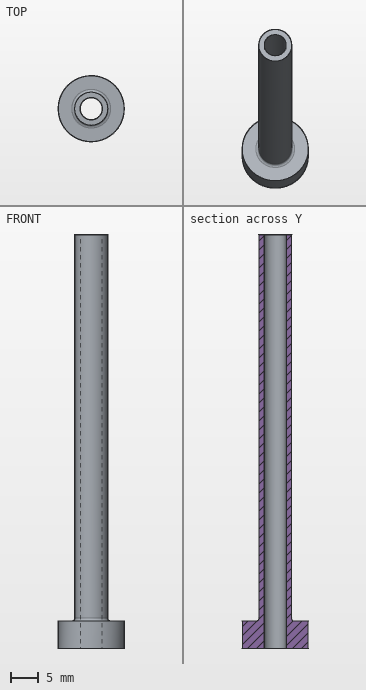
import cadquery as cq

total_length = 75.0
head_diameter = 12.0
head_height = 5.0
tube_diameter = head_diameter / 2
bore_diameter = 4.0
neck_fillet = 0.5

head = cq.Workplane("XY").circle(head_diameter / 2).extrude(head_height)
tube = cq.Workplane("XY").circle(tube_diameter / 2).extrude(total_length)
body = head.union(tube)

neck_edge = cq.selectors.RadiusNthSelector(0)
body = body.faces("<Z[1]").edges(neck_edge).fillet(neck_fillet)

bore = cq.Workplane("XY").circle(bore_diameter / 2).extrude(total_length)
result = body.cut(bore)